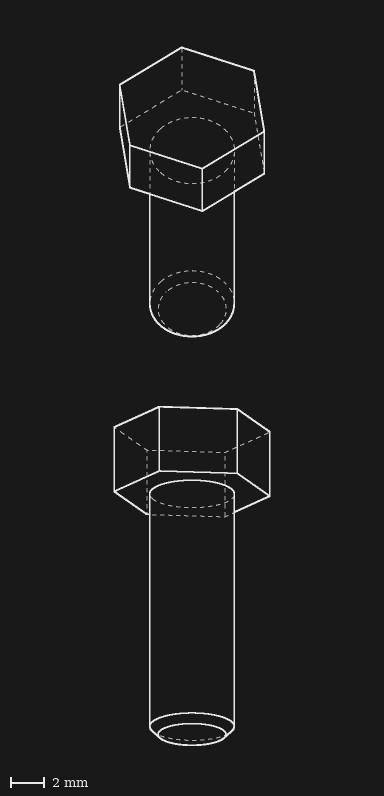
import cadquery as cq
import math

total_length = 19.0
head_height = 4.0
across_flats = 8.0
shank_diameter = 5.0
tip_chamfer = 0.5

shank_length = total_length - head_height
across_corners = across_flats / math.cos(math.pi / 6)

shank = (
    cq.Workplane("XY")
    .circle(shank_diameter / 2)
    .extrude(shank_length)
    .faces("<Z")
    .chamfer(tip_chamfer)
)

head = (
    cq.Workplane("XY")
    .workplane(offset=shank_length)
    .polygon(6, across_corners)
    .extrude(head_height)
)

result = shank.union(head)